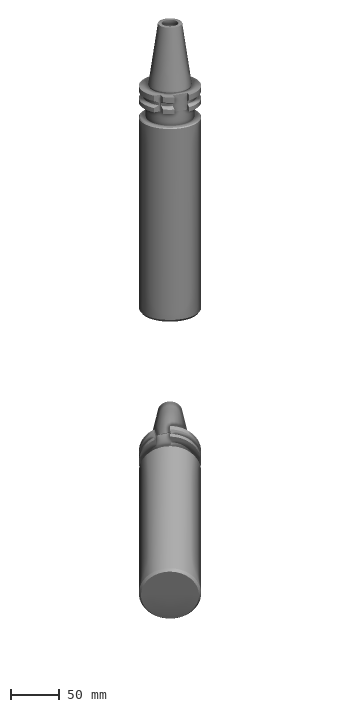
import cadquery as cq

total_height = 318.5
body_height = 215.2
flange_bottom = 230.8
flange_top = 249.3
taper_base = 251.0

body_radius = 31.8
body_bottom_chamfer_height = 3.0
body_bottom_chamfer_width = 2.2
body_top_chamfer = 1.0
neck_radius = 24.8

flange_radius = 31.8
groove_root_radius = 27.7
groove_root_bottom = 238.0
groove_root_height = 3.2
groove_flank_height = 2.2
groove_root_top = groove_root_bottom + groove_root_height

taper_base_radius = 22.3
taper_radius_per_height = 7 / 24 / 2
taper_tip_radius = taper_base_radius - taper_radius_per_height * (total_height - taper_base)
relief_radius = 21.5

bore_radius = 8.5
bore_depth = 5.7

slot_width = 16.2
slot_bottom = 223.0
left_slot_distance = 22.5
right_slot_distance = 25.0

notch_offset = 18.8


def turned_body():
    """Revolve the half section of the whole holder about Z."""
    profile = [
        (0, 0),
        (body_radius - body_bottom_chamfer_width, 0),
        (body_radius, body_bottom_chamfer_height),
        (body_radius, body_height - body_top_chamfer),
        (body_radius - body_top_chamfer, body_height),
        (neck_radius, body_height),
        (neck_radius, flange_bottom),
        (flange_radius, flange_bottom),
        (flange_radius, groove_root_bottom - groove_flank_height),
        (groove_root_radius, groove_root_bottom),
        (groove_root_radius, groove_root_top),
        (flange_radius, groove_root_top + groove_flank_height),
        (flange_radius, flange_top),
        (relief_radius, flange_top),
        (relief_radius, taper_base),
        (taper_base_radius, taper_base),
        (taper_tip_radius, total_height),
        (0, total_height),
    ]
    return cq.Workplane("XZ").polyline(profile).close().revolve(360, (0, 0), (0, 1))


def drive_slot(inner_distance, side):
    """Cutter for a slot on the +X (side = 1) or -X (side = -1) flank."""
    half_width = slot_width / 2
    arc_height = slot_bottom + half_width
    return (
        cq.Workplane("YZ", origin=(side * inner_distance, 0, 0))
        .moveTo(-half_width, flange_top)
        .lineTo(-half_width, arc_height)
        .threePointArc((0, slot_bottom), (half_width, arc_height))
        .lineTo(half_width, flange_top)
        .close()
        .extrude(side * flange_radius)
    )


def orientation_notch():
    """Cutter for the flange corner at +X, -Y."""
    return cq.Workplane("XY").box(
        flange_radius, flange_radius, flange_top - flange_bottom, centered=False
    ).translate((notch_offset, -notch_offset - flange_radius, flange_bottom))


def tip_bore():
    """Cutter for the blind bore in the tip."""
    return cq.Workplane("XY", origin=(0, 0, total_height)).circle(bore_radius).extrude(-bore_depth)


result = (
    turned_body()
    .cut(drive_slot(left_slot_distance, -1))
    .cut(drive_slot(right_slot_distance, 1))
    .cut(orientation_notch())
    .cut(tip_bore())
)